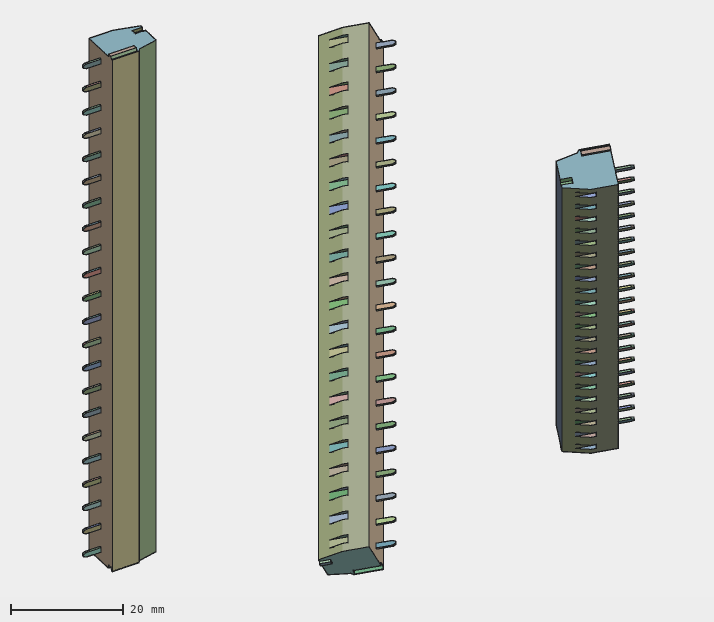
import cadquery as cq

POLES = 22
BODY_HEIGHT = 110.0
BODY_WIDTH = 8.1
BODY_DEPTH = 10.0
PITCH = BODY_HEIGHT / POLES

LEFT_TAPER_START = 5.0
LEFT_TAPER_INSET = 1.3
RIGHT_SHOULDER_START = 5.5
RIGHT_SHOULDER_END = 6.0
RIGHT_SHOULDER_INSET = 0.5
RIGHT_TAPER_INSET = 1.4

POCKET_FRONT = 4.0
POCKET_BACK = 7.7
POCKET_HEIGHT = 1.7

PIN_WIDTH = 0.4
PIN_HEIGHT = 1.0
PIN_LENGTH = 3.7
PIN_TIP_LENGTH = 0.5
PIN_TIP_HEIGHT = 0.4

RIB_HEIGHT = 0.5
GROOVE_DEPTH = 0.7
RIGHT_JOINT_START = 6.8
RIGHT_JOINT_TIP = 0.8
RIGHT_JOINT_BASE = 1.1
RIGHT_JOINT_LENGTH = 5.3
LEFT_JOINT_START = 1.9
LEFT_JOINT_TIP = 0.8
LEFT_JOINT_BASE = 1.1
LEFT_JOINT_LENGTH = 2.1


def make_body():
    """Extrude the tapered cross-section along the full stack of poles."""
    return (
        cq.Workplane("XY")
        .moveTo(0, 0)
        .lineTo(BODY_WIDTH, 0)
        .lineTo(BODY_WIDTH, RIGHT_SHOULDER_START)
        .lineTo(BODY_WIDTH - RIGHT_SHOULDER_INSET, RIGHT_SHOULDER_END)
        .lineTo(BODY_WIDTH - RIGHT_TAPER_INSET, BODY_DEPTH)
        .lineTo(LEFT_TAPER_INSET, BODY_DEPTH)
        .lineTo(0, LEFT_TAPER_START)
        .close()
        .extrude(BODY_HEIGHT)
    )


def make_pocket(center_z):
    """Pocket with an upright floor that runs out where it meets the slope."""
    slope = LEFT_TAPER_INSET / (BODY_DEPTH - LEFT_TAPER_START)
    floor_x = slope * (POCKET_BACK - LEFT_TAPER_START)
    return cq.Workplane("XY").box(
        floor_x, POCKET_BACK - POCKET_FRONT, POCKET_HEIGHT, centered=(False, False, True)
    ).translate((0, POCKET_FRONT, center_z))


def make_pin(center_z):
    """Flat pin standing on the front face, narrowing in height at its free end."""
    half_height = PIN_HEIGHT / 2
    half_tip = PIN_TIP_HEIGHT / 2
    shoulder_y = PIN_TIP_LENGTH - PIN_LENGTH
    outline = [
        (0, -half_height),
        (shoulder_y, -half_height),
        (-PIN_LENGTH, -half_tip),
        (-PIN_LENGTH, half_tip),
        (shoulder_y, half_height),
        (0, half_height),
    ]
    pin = cq.Workplane("YZ").polyline(outline).close().extrude(PIN_WIDTH / 2, both=True)
    return pin.translate((BODY_WIDTH / 2, 0, center_z))


def make_joint(base_z, rise, start_x, base_width, tip_width, start_y, length):
    """Bar along Y with one upright and one sloping side, rising or dropping from base_z."""
    tip_z = base_z + rise
    outline = [
        (start_x, base_z),
        (start_x + base_width, base_z),
        (start_x + tip_width, tip_z),
        (start_x, tip_z),
    ]
    bar = cq.Workplane("XZ").polyline(outline).close().extrude(-length)
    return bar.translate((0, start_y, 0))


def make_right_joint(base_z, height):
    """Upward joint beside the front edge of the right side."""
    return make_joint(
        base_z, height, RIGHT_JOINT_START, RIGHT_JOINT_BASE, RIGHT_JOINT_TIP, 0, RIGHT_JOINT_LENGTH
    )


def make_left_joint(base_z, height):
    """Downward joint beside the back edge of the left side."""
    start_y = BODY_DEPTH - LEFT_JOINT_LENGTH
    return make_joint(
        base_z, -height, LEFT_JOINT_START, LEFT_JOINT_BASE, LEFT_JOINT_TIP, start_y, LEFT_JOINT_LENGTH
    )


result = make_body()

for pole in range(POLES):
    pole_center = (pole + 0.5) * PITCH
    result = result.cut(make_pocket(pole_center))
    result = result.union(make_pin(pole_center))

result = result.union(make_right_joint(BODY_HEIGHT, RIB_HEIGHT))
result = result.union(make_left_joint(0, RIB_HEIGHT))
result = result.cut(make_right_joint(0, GROOVE_DEPTH))
result = result.cut(make_left_joint(BODY_HEIGHT, GROOVE_DEPTH))